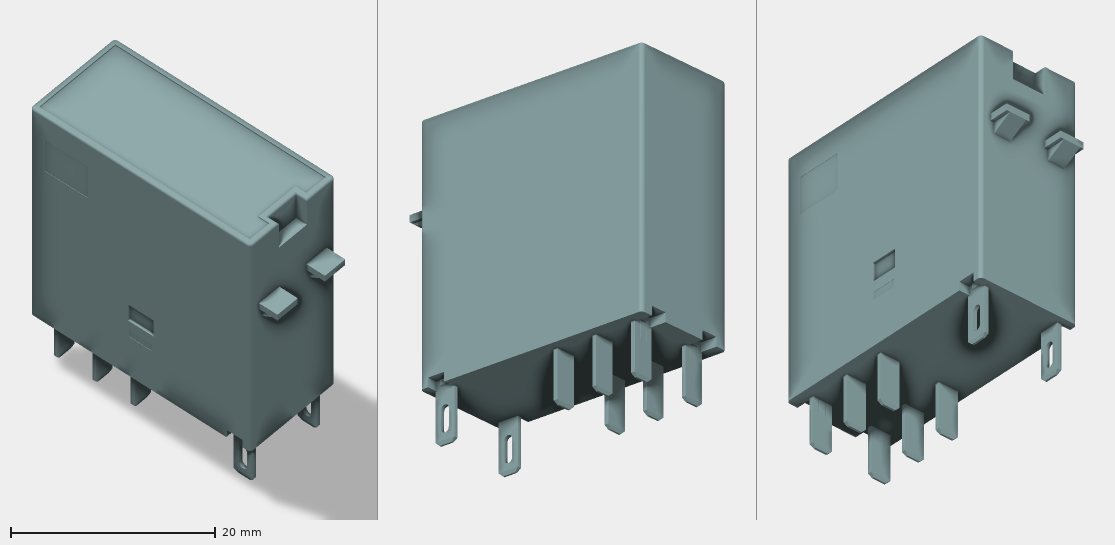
import cadquery as cq

body_length = 28.7
body_width = 12.6
body_height = 29.0
total_height = 34.9
corner_radius = 0.45
top_radius = 0.25

panel_margin = 0.65
panel_depth = 0.15
notch_depth_x = 1.4
notch_width = 4.15
notch_height = 3.5

label_recess = (2.0, 3.25, 5.6, 4.4, 0.05)
window_recess = (12.77, 19.05, 3.28, 2.25, 0.3)
slit_recess = (12.88, 22.58, 3.05, 0.9, 0.05)

latch_reach = 2.4
latch_offset = 3.52
latch_width = 3.0
latch_drop = 9.0
latch_thickness = 0.8
latch_root_height = 2.15
gusset_width = 2.1

contact_offset = 3.8
coil_offset = 4.75
blade_width = 2.48
blade_thickness = 0.5
blade_length = total_height - body_height
tip_length = 0.42
tip_width = 1.57
tip_thickness = 0.25
contact_first_x = 2.27
contact_pitch = 5.0
contact_count = 3
coil_x = 26.6

slot_width = 1.0
slot_length = 3.0
slot_drop = 1.7

root_notch_width = 2.1
root_notch_height = 1.05

tongue_width = 0.85
tongue_slit_width = 0.087
tongue_top = 0.42
tongue_bottom = -1.6

pad_width = 1.05
pad_bottom = 0.4
pad_thickness = 0.15
pad_bevel = 0.1


def box(x_min, x_max, y_min, y_max, z_min, z_max):
    """Box given by its limits on the three axes."""
    size = (x_max - x_min, y_max - y_min, z_max - z_min)
    return cq.Workplane("XY").box(*size, centered=False).translate((x_min, y_min, z_min))


def centred_box(x_min, x_max, width, z_min, z_max):
    """Box of the given Y width, centred on Y = 0."""
    return box(x_min, x_max, -width / 2, width / 2, z_min, z_max)


def make_housing():
    """Rounded block with a notch in its top edge, a rounded rim and a sunk top panel."""
    block = centred_box(0, body_length, body_width, 0, body_height).edges("|Z").fillet(corner_radius)
    notch_x = body_length - notch_depth_x
    notch_z = body_height - notch_height
    block = block.cut(centred_box(notch_x, body_length, notch_width, notch_z, body_height))
    block = block.faces(">Z").edges().fillet(top_radius)

    panel_z = body_height - panel_depth
    panel_end = body_length - panel_margin
    panel = centred_box(panel_margin, panel_end, body_width - 2 * panel_margin, panel_z, body_height)
    rim_width = notch_width + 2 * panel_margin
    rim = centred_box(notch_x - panel_margin, body_length, rim_width, panel_z, body_height)
    return block.cut(panel.cut(rim))


def side_recess(left, drop, width, height, depth):
    """Tool for a rectangle sunk into the -Y side."""
    top = body_height - drop
    front = -body_width / 2
    return box(left, left + width, front, front + depth, top - height, top)


def make_latch():
    """Plate with a sloping gusset beneath it, centred on Y = 0."""
    top = body_height - latch_drop
    plate_bottom = top - latch_thickness
    tip = body_length + latch_reach
    plate = centred_box(body_length, tip, latch_width, plate_bottom, top)
    gusset = (
        cq.Workplane("XZ")
        .moveTo(body_length, plate_bottom)
        .lineTo(tip, plate_bottom)
        .lineTo(body_length, top - latch_root_height)
        .close()
        .extrude(gusset_width / 2, both=True)
    )
    return plate.union(gusset)


def make_blade():
    """Terminal blade in the XZ plane with a tapered tip, reaching up into the housing."""
    straight_end = tip_length - blade_length
    shank_length = root_notch_height - straight_end
    shank = (
        cq.Workplane("XY", origin=(0, 0, straight_end))
        .rect(blade_width, blade_thickness)
        .extrude(shank_length)
    )
    tip = (
        cq.Workplane("XY", origin=(0, 0, straight_end))
        .rect(blade_width, blade_thickness)
        .workplane(offset=-tip_length)
        .rect(tip_width, tip_thickness)
        .loft()
    )
    return shank.union(tip)


def make_coil_terminal():
    """Blade with a solder slot and a bevelled pad on its -Y face."""
    slot_middle = -slot_drop - slot_length / 2
    slot = (
        cq.Workplane("XZ", origin=(0, 0, slot_middle))
        .slot2D(slot_length, slot_width, 90)
        .extrude(blade_thickness, both=True)
    )
    face_y = -blade_thickness / 2
    pad = box(-pad_width / 2, pad_width / 2, face_y - pad_thickness, 0, pad_bottom, root_notch_height)
    pad = pad.faces("<Y").edges("<Z").chamfer(pad_bevel)
    return make_blade().cut(slot).union(pad)


def make_contact():
    """Blade turned across the housing."""
    return make_blade().rotate((0, 0, 0), (0, 0, 1), 90)


def make_tongue_slit():
    """Tool for the slit along the top and both sides of an outer contact's tongue."""
    x_min = -blade_thickness / 2
    x_max = blade_thickness / 2
    outer_width = tongue_width + 2 * tongue_slit_width
    outline = centred_box(x_min, x_max, outer_width, tongue_bottom, tongue_top)
    tongue = centred_box(x_min, x_max, tongue_width, tongue_bottom, tongue_top - tongue_slit_width)
    return outline.cut(tongue)


def make_contact_notch():
    """Tool for the opening from the -X face to an outer contact, centred on Y = 0."""
    contact_face = contact_first_x - blade_thickness / 2
    return centred_box(0, contact_face, root_notch_width, 0, root_notch_height)


def make_coil_notch():
    """Tool for the opening from the -Y face to the coil terminal nearest it."""
    x_min = coil_x - root_notch_width / 2
    x_max = coil_x + root_notch_width / 2
    coil_face = -coil_offset - blade_thickness / 2
    return box(x_min, x_max, -body_width / 2, coil_face, 0, root_notch_height)


result = make_housing()
for recess in (label_recess, window_recess, slit_recess):
    result = result.cut(side_recess(*recess))

coil_notch = make_coil_notch()
coil_terminal = make_coil_terminal().translate((coil_x, -coil_offset, 0))
result = result.cut(coil_notch).cut(coil_notch.mirror("XZ"))
result = result.union(coil_terminal).union(coil_terminal.mirror("XZ"))

for side in (-1, 1):
    result = result.union(make_latch().translate((0, side * latch_offset, 0)))

    contact_y = side * contact_offset
    result = result.cut(make_contact_notch().translate((0, contact_y, 0)))
    for index in range(contact_count):
        contact_x = contact_first_x + index * contact_pitch
        result = result.union(make_contact().translate((contact_x, contact_y, 0)))
    result = result.cut(make_tongue_slit().translate((contact_first_x, contact_y, 0)))